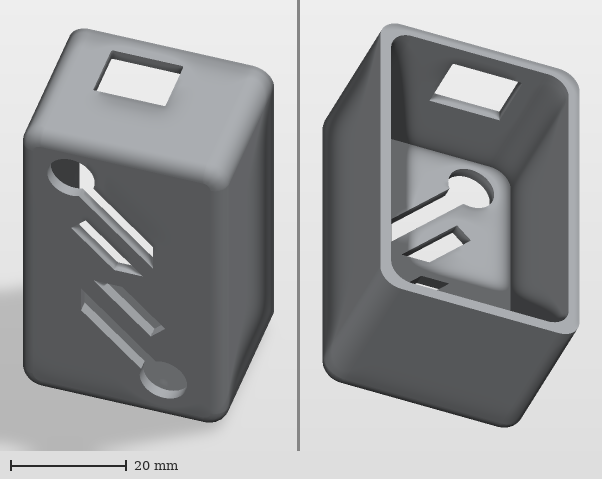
import cadquery as cq
import math

width = 37.3
depth = 27.9
height = 61.5
wall = 2.0
corner_radius = 3.95
front_edge_radius = 2.6
cavity_corner_radius = corner_radius

keyhole_radius = 4.3
slot_width = 3.7
slot_run = 14.95
upper_keyhole = (-9.2, 22.45)
lower_keyhole = (7.55, -21.3)

short_slot_run = 9.1
upper_short_slot = (-7.9, 11.6)
lower_short_slot = (6.6, -10.2)

window_width = 13.1
window_depth = 10.4
window_center_x = -3.1
window_back_margin = 3.8
window_corner_radius = 0.35

slot_half_span = slot_width / math.sqrt(2)
slot_half_step = slot_half_span / 2


def make_shell():
    outer = (
        cq.Workplane("XY")
        .box(width, depth, height, centered=(True, False, True))
        .edges("|Y").fillet(corner_radius)
        .faces("<Y").edges().fillet(front_edge_radius)
    )
    cavity = (
        cq.Workplane("XY", origin=(0, wall, 0))
        .box(width - 2 * wall, depth, height - 2 * wall, centered=(True, False, True))
        .edges("|Y").fillet(cavity_corner_radius)
    )
    return outer.cut(cavity)


def front_cutter(outline):
    """Extrude an XZ outline backward through the front wall only."""
    return outline.extrude(-wall)


def front_plane(position):
    x, z = position
    return cq.Workplane("XZ", origin=(x, 0, z))


def keyhole_cutter(position, direction):
    """Direction +1 runs the slot right and down; -1 runs it left and up."""
    hole = front_cutter(front_plane(position).circle(keyhole_radius))
    end = direction * slot_run
    outline = front_plane(position).polyline([
        (slot_half_step, slot_half_step),
        (end, slot_half_span - end),
        (end, -slot_half_span - end),
        (-slot_half_step, -slot_half_step),
    ]).close()
    return hole.union(front_cutter(outline))


def short_slot_cutter(position, direction):
    """Start at the square end's midpoint, with the same directions as the keyholes."""
    end = direction * short_slot_run
    outline = front_plane(position).polyline([
        (slot_half_step, slot_half_step),
        (end + slot_half_span, -end),
        (end - slot_half_span, -end),
        (-slot_half_step, -slot_half_step),
    ]).close()
    return front_cutter(outline)


def window_cutter():
    center_y = depth - window_back_margin - window_depth / 2
    return (
        cq.Workplane("XY", origin=(window_center_x, center_y, height / 2 - wall))
        .box(window_width, window_depth, wall, centered=(True, True, False))
        .faces(">Y").edges("|Z").fillet(window_corner_radius)
    )


result = make_shell().cut(window_cutter())
for keyhole, short_slot, direction in (
    (upper_keyhole, upper_short_slot, 1),
    (lower_keyhole, lower_short_slot, -1),
):
    result = result.cut(keyhole_cutter(keyhole, direction))
    result = result.cut(short_slot_cutter(short_slot, direction))